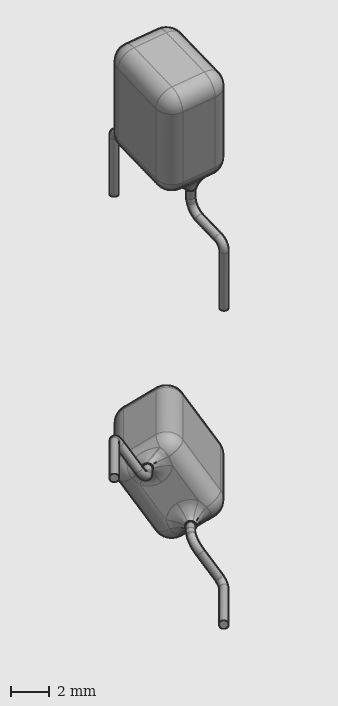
import cadquery as cq
import math

BODY_WIDTH = 5.5
BODY_DEPTH = 4.0
BODY_HEIGHT = 7.0
BODY_ROUNDING = 1.0

NECK_LENGTH = 0.5
NECK_RADIUS = 0.3
NECK_FILLET = 1.2

LEAD_DIAMETER = 0.5
LEAD_RADIUS = LEAD_DIAMETER / 2
EXIT_PITCH = 4.0
FOOT_PITCH = 10.16
FOOT_DEPTH = 6.6
SHOULDER_DEPTH = 2.0
KINK_BEND_RADIUS = 0.8
KINK_ANGLE = math.radians(20)
KINK_STRAIGHT = 0.1
FOOT_BEND_RADIUS = 0.5

EXIT_X = EXIT_PITCH / 2
FOOT_X = FOOT_PITCH / 2
SIDES = (-1, 1)


def make_body():
    """Blend a neck into the left of the block, then mirror that half to the right."""
    block = (
        cq.Workplane("XY")
        .box(BODY_WIDTH, BODY_DEPTH, BODY_HEIGHT, centered=(True, True, False))
        .edges()
        .fillet(BODY_ROUNDING)
    )
    right_half_space = cq.Workplane("XY").box(
        BODY_WIDTH, BODY_DEPTH, 2 * BODY_HEIGHT, centered=(False, True, True)
    )
    left_half = add_neck(block, -EXIT_X).cut(right_half_space)
    return left_half.union(left_half.mirror("YZ")).clean()


def add_neck(block, x):
    """Add a stub slightly wider than the lead and blend it into the underside."""
    stub = (
        cq.Workplane("XY", origin=(x, 0, -NECK_LENGTH))
        .circle(NECK_RADIUS)
        .extrude(NECK_LENGTH + BODY_ROUNDING)
    )
    joint = cq.selectors.BoxSelector(
        (x - 2 * NECK_RADIUS, -2 * NECK_RADIUS, -NECK_LENGTH / 2),
        (x + 2 * NECK_RADIUS, 2 * NECK_RADIUS, NECK_LENGTH),
        boundingbox=True,
    )
    return block.union(stub).edges(joint).fillet(NECK_FILLET)


def arc_point(center, radius, angle):
    return (center[0] + radius * math.cos(angle), center[1] + radius * math.sin(angle))


def make_lead(side):
    """Sweep a round wire down, outward and down again on the given side."""
    kink_out = KINK_STRAIGHT * math.sin(KINK_ANGLE)
    kink_down = KINK_STRAIGHT * math.cos(KINK_ANGLE)

    lower_center = (
        EXIT_X + KINK_BEND_RADIUS + kink_out,
        -SHOULDER_DEPTH + KINK_BEND_RADIUS,
    )
    upper_center = (lower_center[0] - kink_out, lower_center[1] + kink_down)
    foot_center = (FOOT_X - FOOT_BEND_RADIUS, -SHOULDER_DEPTH - FOOT_BEND_RADIUS)

    start = math.pi
    kink = start + KINK_ANGLE
    end = 3 * math.pi / 2

    def upper(angle):
        return mirrored(arc_point(upper_center, KINK_BEND_RADIUS, angle))

    def lower(angle):
        return mirrored(arc_point(lower_center, KINK_BEND_RADIUS, angle))

    def foot(angle):
        return mirrored(arc_point(foot_center, FOOT_BEND_RADIUS, angle))

    def mirrored(point):
        return (side * point[0], point[1])

    path = (
        cq.Workplane("XZ")
        .moveTo(side * EXIT_X, -NECK_LENGTH)
        .lineTo(*upper(start))
        .threePointArc(upper((start + kink) / 2), upper(kink))
        .lineTo(*lower(kink))
        .threePointArc(lower((kink + end) / 2), lower(end))
        .lineTo(*foot(math.pi / 2))
        .threePointArc(foot(math.pi / 4), foot(0))
        .lineTo(side * FOOT_X, -FOOT_DEPTH)
    )
    wire_end = cq.Workplane("XY", origin=(side * EXIT_X, 0, -NECK_LENGTH)).circle(LEAD_RADIUS)
    return wire_end.sweep(path)


body = make_body()
leads = [make_lead(side) for side in SIDES]

result = cq.Compound.makeCompound([body.solids().val(), *[lead.val() for lead in leads]])